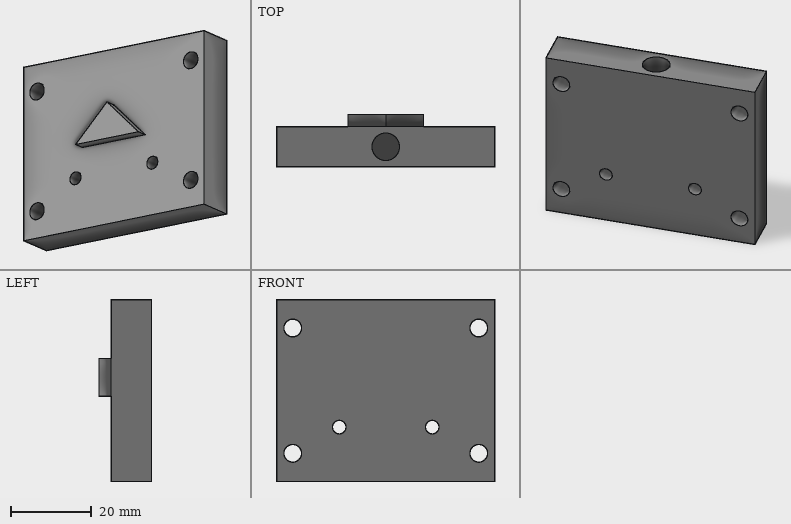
import cadquery as cq

plate_width = 54.0
plate_thickness = 10.0
plate_height = 45.0

corner_hole_diameter = 4.3
corner_hole_spacing_x = 46.0
corner_hole_spacing_z = 31.0
lower_hole_diameter = 3.3
lower_hole_spacing = 23.0
lower_hole_z = -9.0

bore_diameter = 6.8
bore_depth = 20.0

boss_width = 18.8
boss_rise = boss_width / 2
boss_base_z = -1.4
boss_thickness = 3.0


def make_plate():
    return cq.Workplane("XY").box(plate_width, plate_thickness, plate_height)


def make_boss():
    back_face_y = plate_thickness / 2
    return (
        cq.Workplane("XZ", origin=(0, back_face_y, 0))
        .moveTo(-boss_width / 2, boss_base_z)
        .lineTo(boss_width / 2, boss_base_z)
        .lineTo(0, boss_base_z + boss_rise)
        .close()
        .extrude(-boss_thickness)
    )


def make_through_holes():
    corner_holes = (
        cq.Workplane("XZ")
        .rarray(corner_hole_spacing_x, corner_hole_spacing_z, 2, 2)
        .circle(corner_hole_diameter / 2)
        .extrude(plate_thickness, both=True)
    )
    lower_holes = (
        cq.Workplane("XZ")
        .center(0, lower_hole_z)
        .rarray(lower_hole_spacing, 0.55, 2, 1)
        .circle(lower_hole_diameter / 2)
        .extrude(plate_thickness, both=True)
    )
    return corner_holes.add(lower_holes).combine()


def make_bore():
    top_z = plate_height / 2
    return (
        cq.Workplane("XY", origin=(0, 0, top_z))
        .circle(bore_diameter / 2)
        .extrude(-bore_depth)
    )


result = make_plate().union(make_boss()).cut(make_through_holes()).cut(make_bore())